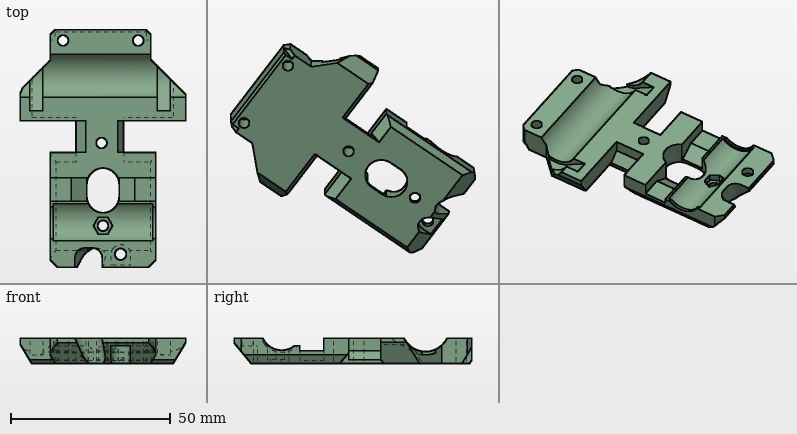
import cadquery as cq
import math

thickness = 8.0
length = 74.5
width = 52.0
bevel_slope = math.tan(math.radians(59))

plate_half_width = 16.55
plate_back = 36.0
plate_corner = 2.2
plate_side_bevel_height = 2.8
plate_back_bevel_height = 3.4
plate_back_bevel_depth = 3.0
plate_front_bevel_height = 6.5
plate_front_bevel_depth = 5.4

bar_front = 45.9
bar_front_bevel_height = 1.3
bar_front_bevel_depth = 1.2
bar_left_bevel_height = 6.1
bar_right_bevel_height = 6.7
tab_left = -plate_half_width
tab_right = 15.0
tab_corner = 1.5
taper_left_end = 64.9
taper_right_end = 65.1
tab_back_bevel_height = 1.05
tab_back_bevel_depth = 0.75
tab_corner_bevel_height = 5.2

neck_top_left, neck_top_right = -5.45, 4.55
neck_foot_left, neck_foot_right = -8.5, 6.5
neck_slope_top = 4.1
neck_slope_foot = 1.2

cradle_radius = 7.5
cradle_y = 60.0
cradle_z = 11.3
tie_radius = 8.6
tie_ramp_start = 49.0
tie_slot_width = 4.1
tie_slot_lefts = (-23.0, 17.0)

lip_radius = 6.55
small_cradle_radius = 7.15
small_cradle_y = 14.9
small_cradle_z = 10.8
small_cradle_length = 31.3

channel_front = 20.6
channel_back = 28.0
channel_floor = 4.1
ledge_front = 14.9
ledge_z = 5.65
window_width = 10.05
window_front = 17.1
window_back = 31.1
ramp_outer_half_width = 9.9
ramp_foot_z = 1.05

hole_diameter = 3.3
plain_holes = [(-12.5, 71.1), (11.0, 71.1), (-0.45, 39.0)]
nut_y = 13.05
nut_across_corners = 6.0
nut_floor = 1.4
screw_x, screw_y = 5.5, 4.1
screw_diameter = 3.5
screw_head_diameter = 6.2
screw_head_depth = 5.6

notch_shoulder_diameter = 6.2
notch_arc_y = 3.0
notch_top_left, notch_top_right = -8.8, -0.3
notch_foot_left, notch_foot_right = -5.3, 1.1

margin = 0.75


def along_x(points, x_start, x_end):
    """Prism running along X from a (Y, Z) outline."""
    return cq.Workplane("YZ", origin=(x_start, 0, 0)).polyline(points).close().extrude(x_end - x_start)


def along_y(points, y_start, y_end):
    """Prism running along Y from an (X, Z) outline."""
    return cq.Workplane("XZ", origin=(0, y_start, 0)).polyline(points).close().extrude(y_start - y_end)


def along_z(points):
    """Full-thickness prism from an (X, Y) outline."""
    return cq.Workplane("XY").polyline(points).close().extrude(thickness)


def block(x_start, x_end, y_start, y_end, z_start, z_end):
    size = (x_end - x_start, y_end - y_start, z_end - z_start)
    return cq.Workplane("XY").box(*size, centered=False).translate((x_start, y_start, z_start))


def cylinder_along_x(radius, y, z, x_start, x_end):
    return cq.Workplane("YZ", origin=(x_start, 0, 0)).center(y, z).circle(radius).extrude(x_end - x_start)


def bevelled_section(left, right, left_height, right_height):
    """(X, Z) section with sloped lower sides."""
    return [
        (left + left_height / bevel_slope, 0),
        (right - right_height / bevel_slope, 0),
        (right, right_height),
        (right, thickness),
        (left, thickness),
        (left, left_height),
    ]


def front_plate():
    w, c = plate_half_width, plate_corner
    plan = along_z([
        (c - w, 0), (w - c, 0), (w, c), (w, plate_back), (-w, plate_back), (-w, c),
    ])
    section = along_y(
        bevelled_section(-w, w, plate_side_bevel_height, plate_side_bevel_height), 0, plate_back
    )
    profile = along_x([
        (plate_front_bevel_depth, 0),
        (plate_back - plate_back_bevel_depth, 0),
        (plate_back, plate_back_bevel_height),
        (plate_back, thickness),
        (0, thickness),
        (0, plate_front_bevel_height),
    ], -w, w)
    return plan.intersect(section).intersect(profile)


def rear_body():
    right = width / 2
    left = -right
    plan = along_z([
        (left, bar_front),
        (right, bar_front),
        (right, taper_right_end - (right - tab_right)),
        (tab_right, taper_right_end),
        (tab_right, length - tab_corner),
        (tab_right - tab_corner, length),
        (tab_left + tab_corner, length),
        (tab_left, length - tab_corner),
        (tab_left, taper_left_end),
        (left, taper_left_end - (tab_left - left)),
    ])
    section = along_y(
        bevelled_section(left, right, bar_left_bevel_height, bar_right_bevel_height), bar_front, length
    )
    profile = along_x([
        (bar_front + bar_front_bevel_depth, 0),
        (length - tab_back_bevel_depth, 0),
        (length, tab_back_bevel_height),
        (length, thickness),
        (bar_front, thickness),
        (bar_front, bar_front_bevel_height),
    ], left, right)
    body = plan.intersect(section).intersect(profile)
    corner_bevel = [
        (length - tab_corner_bevel_height / bevel_slope, 0),
        (length, 0),
        (length, tab_corner_bevel_height),
    ]
    for corner_start in (tab_left, tab_right - tab_corner):
        body = body.cut(along_x(corner_bevel, corner_start, corner_start + tab_corner))
    return body


def neck():
    section = [
        (neck_foot_left, 0),
        (neck_foot_right, 0),
        (neck_foot_right, neck_slope_foot),
        (neck_top_right, neck_slope_top),
        (neck_top_right, thickness),
        (neck_top_left, thickness),
        (neck_top_left, neck_slope_top),
        (neck_foot_left, neck_slope_foot),
    ]
    web = along_y(section, plate_back, bar_front)
    plate_filler = block(
        neck_foot_left, neck_foot_right,
        plate_back - plate_back_bevel_depth, plate_back,
        0, plate_back_bevel_height,
    )
    bar_filler = block(
        neck_foot_left, neck_foot_right,
        bar_front, bar_front + bar_front_bevel_depth,
        0, bar_front_bevel_height,
    )
    return web.union(plate_filler).union(bar_filler)


def tie_slot(x_start):
    """Curved slot under the large cradle, with a straight ramp tangent to the curve."""
    x_end = x_start + tie_slot_width
    start_dy = tie_ramp_start - cradle_y
    start_dz = thickness - cradle_z
    start_distance = math.hypot(start_dy, start_dz)
    tangent_angle = math.atan2(start_dz, start_dy) + math.acos(tie_radius / start_distance)
    tangent_point = (
        cradle_y + tie_radius * math.cos(tangent_angle),
        cradle_z + tie_radius * math.sin(tangent_angle),
    )
    curve = cylinder_along_x(tie_radius, cradle_y, cradle_z, x_start, x_end)
    ramp = along_x([(tie_ramp_start, thickness), tangent_point, (cradle_y, cradle_z)], x_start, x_end)
    return curve.union(ramp)


def small_cradle():
    w = plate_half_width
    lips = cylinder_along_x(lip_radius, small_cradle_y, small_cradle_z, -w, w)
    half = small_cradle_length / 2
    middle = cylinder_along_x(small_cradle_radius, small_cradle_y, small_cradle_z, -half, half)
    return lips.union(middle)


def channel_and_window():
    w = plate_half_width
    channel = block(-w, w, channel_front, channel_back, channel_floor, thickness)
    ledge = block(-w, w, ledge_front, channel_front, ledge_z, thickness)
    half_window = window_width / 2
    ramps = along_y([
        (-ramp_outer_half_width, channel_floor),
        (-half_window, ramp_foot_z),
        (half_window, ramp_foot_z),
        (ramp_outer_half_width, channel_floor),
    ], channel_front, channel_back)
    window = (
        cq.Workplane("XY")
        .center(0, (window_front + window_back) / 2)
        .slot2D(window_back - window_front, window_width, 90)
        .extrude(thickness)
    )
    return channel.union(ledge).union(ramps).union(window)


def arch(z, left, right):
    """Arch outline open toward the front edge: straight legs and two rounded shoulders."""
    r = notch_shoulder_diameter / 2
    diagonal = r * math.sqrt(0.5)
    return (
        cq.Workplane("XY", origin=(0, 0, z))
        .moveTo(left, -margin)
        .lineTo(left, notch_arc_y)
        .threePointArc((left + r - diagonal, notch_arc_y + diagonal), (left + r, notch_arc_y + r))
        .lineTo(right - r, notch_arc_y + r)
        .threePointArc((right - r + diagonal, notch_arc_y + diagonal), (right, notch_arc_y))
        .lineTo(right, -margin)
        .close()
        .val()
    )


def front_notch():
    foot = arch(0, notch_foot_left, notch_foot_right)
    top = arch(thickness, notch_top_left, notch_top_right)
    return cq.Workplane(cq.Solid.makeLoft([foot, top], True))


def holes():
    tools = (
        cq.Workplane("XY")
        .pushPoints(plain_holes + [(0, nut_y)])
        .circle(hole_diameter / 2)
        .extrude(thickness)
    )
    nut_pocket = (
        cq.Workplane("XY", origin=(0, nut_y, nut_floor))
        .polygon(6, nut_across_corners)
        .extrude(thickness - nut_floor)
    )
    screw = cq.Workplane("XY").center(screw_x, screw_y)
    shank = screw.circle(screw_diameter / 2).extrude(thickness)
    head = screw.circle(screw_head_diameter / 2).extrude(screw_head_depth)
    head_radius = screw_head_diameter / 2
    head_access = block(
        screw_x - head_radius, screw_x + head_radius, -margin, screw_y, 0, screw_head_depth
    )
    return tools.union(nut_pocket).union(shank).union(head).union(head_access)


result = front_plate().union(rear_body()).union(neck())
result = result.cut(cylinder_along_x(cradle_radius, cradle_y, cradle_z, -width / 2, width / 2))
for slot_left in tie_slot_lefts:
    result = result.cut(tie_slot(slot_left))
result = result.cut(channel_and_window()).cut(small_cradle())
result = result.cut(front_notch()).cut(holes())